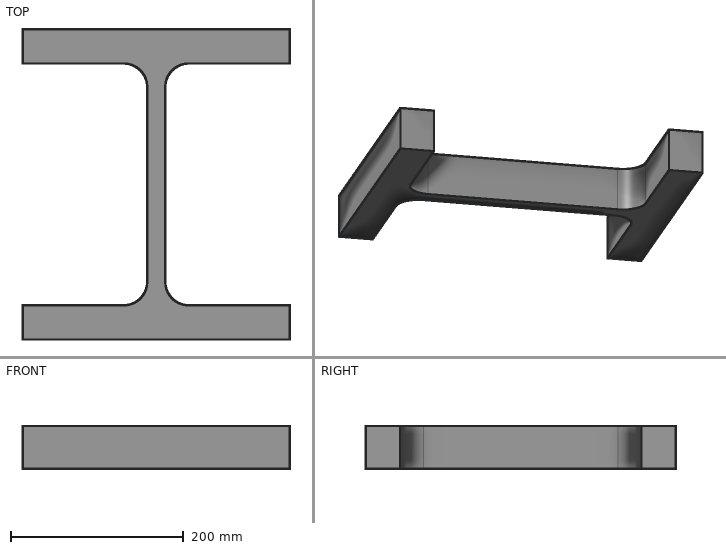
import cadquery as cq

flange_width = 309.0
section_depth = 359.0
section_length = 50.0
flange_thickness = 40.0
web_thickness = 21.2
root_radius = 27.0

flange_offset = (section_depth - flange_thickness) / 2

section = cq.Workplane("XY").box(web_thickness, section_depth, section_length)
for side in (-1, 1):
    flange = (
        cq.Workplane("XY")
        .box(flange_width, flange_thickness, section_length)
        .translate((0, side * flange_offset, 0))
    )
    section = section.union(flange)

corner_x = web_thickness / 2
corner_y = section_depth / 2 - flange_thickness
root_edges = cq.selectors.BoxSelector(
    (-2 * corner_x, -corner_y - corner_x, -section_length),
    (2 * corner_x, corner_y + corner_x, section_length),
)
result = section.edges("|Z").edges(root_edges).fillet(root_radius)